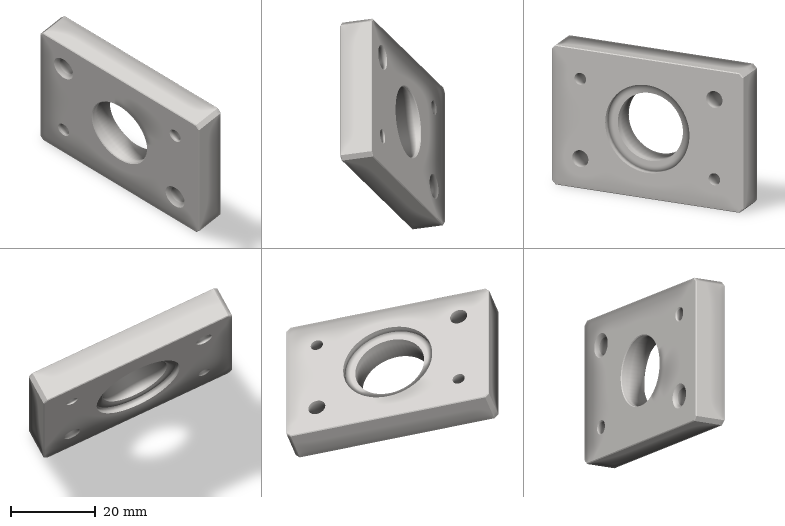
import cadquery as cq

length = 50.0
thickness = 8.0
height = 35.0
corner_chamfer = 1.0
edge_break = 0.2

bore_diameter = 17.0
bore_chamfer = 0.2
recess_diameter = 22.0
recess_depth = 1.7

hole_x = 17.5
hole_z = 10.0
screw_diameter = 4.2
screw_chamfer = 0.9
pin_diameter = 3.0
pin_chamfer = 0.25


def make_plate():
    """Rectangular plate with cut corners and broken front and back edges."""
    plate = cq.Workplane("XY").box(length, thickness, height)
    plate = plate.edges("|Y").chamfer(corner_chamfer)
    return plate.faces("<Y or >Y").chamfer(edge_break)


def hole_cutter(x, z, diameter, chamfer):
    """Through hole along Y with a 45 degree chamfer at the front face."""
    radius = diameter / 2
    front = -thickness / 2
    back = thickness / 2
    profile = [
        (0, front),
        (radius + chamfer, front),
        (radius, front + chamfer),
        (radius, back),
        (0, back),
    ]
    cutter = cq.Workplane("XY").polyline(profile).close().revolve(360, (0, 0), (0, 1))
    return cutter.translate((x, 0, z))


def recess_cutter():
    """Round recess sunk into the back face around the bore."""
    back_plane = cq.Workplane("XZ", origin=(0, thickness / 2, 0))
    return back_plane.circle(recess_diameter / 2).extrude(recess_depth)


result = make_plate()
result = result.cut(hole_cutter(0, 0, bore_diameter, bore_chamfer))
result = result.cut(recess_cutter())

for side in (-1, 1):
    result = result.cut(hole_cutter(side * hole_x, -side * hole_z, screw_diameter, screw_chamfer))
    result = result.cut(hole_cutter(side * hole_x, side * hole_z, pin_diameter, pin_chamfer))